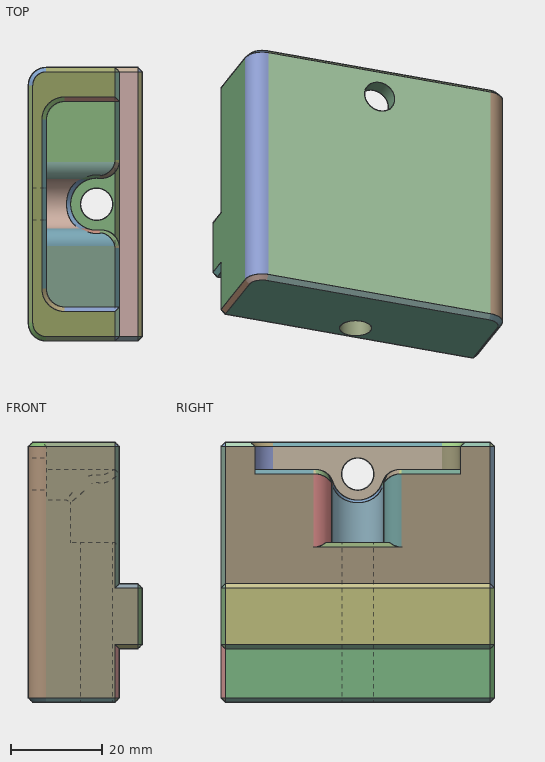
import cadquery as cq
import math

body_depth = 20.0
width = 60.0
height = 57.0
edge_chamfer = 1.0
corner_radius = 4.0

rib_projection = 5.0
rib_bottom = 11.7
rib_top = 26.0

wall_thickness = 4.0
pocket_half_width = 22.5
pocket_corner_radius = 4.0
shelf_height = 51.0

hole_diameter = 7.0
wall_hole_height = 50.0
foot_hole_x = 15.0
channel_radius = 5.7
lip_radius = 4.0
foot_height = 35.0

clearance = 5.0
tolerance = 0.01


def make_body():
    """Rounded block with a cross rib on its back face."""
    block = (
        cq.Workplane("XY")
        .box(body_depth, width, height, centered=(False, True, False))
        .edges("|Z and <X")
        .fillet(corner_radius)
    )
    rib = (
        cq.Workplane("XY")
        .box(body_depth + rib_projection - corner_radius, width, rib_top - rib_bottom,
             centered=(False, True, False))
        .translate((corner_radius, 0, rib_bottom))
    )
    return block.union(rib)


def make_pocket():
    """Open pocket above the shelf."""
    return (
        cq.Workplane("XY")
        .box(body_depth, 2 * pocket_half_width, height - shelf_height + clearance,
             centered=(False, True, False))
        .edges("|Z and <X")
        .fillet(pocket_corner_radius)
        .translate((wall_thickness, 0, shelf_height))
    )


def channel_outline(plane, axis_depth):
    """Round-bottomed channel whose lips roll out tangent to the face it opens on.

    The plane origin lies on that face, local x runs across the channel and local y points outward.
    axis_depth is the depth of the channel axis below the face.
    """
    reach = channel_radius + lip_radius
    lip_x = math.sqrt(reach ** 2 - (axis_depth - lip_radius) ** 2)
    join_share = channel_radius / reach
    join_x = lip_x * join_share
    join_y = (axis_depth - lip_radius) * join_share - axis_depth
    join_angle = math.atan2(join_y + lip_radius, join_x - lip_x) % (2 * math.pi)
    mid_angle = (math.radians(90) + join_angle) / 2
    mid_x = lip_x + lip_radius * math.cos(mid_angle)
    mid_y = -lip_radius + lip_radius * math.sin(mid_angle)
    return (
        cq.Workplane(plane)
        .moveTo(lip_x, clearance)
        .lineTo(lip_x, 0)
        .threePointArc((mid_x, mid_y), (join_x, join_y))
        .threePointArc((0, -axis_depth - channel_radius), (-join_x, join_y))
        .threePointArc((-mid_x, mid_y), (-lip_x, 0))
        .lineTo(-lip_x, clearance)
        .close()
    )


def make_trough():
    """Channel along X in the shelf, in line with the wall hole."""
    plane = cq.Plane(origin=(wall_thickness, 0, shelf_height), xDir=(0, 1, 0), normal=(1, 0, 0))
    return channel_outline(plane, shelf_height - wall_hole_height).extrude(body_depth)


def make_notch():
    """Upright channel in the back face, standing on the foot."""
    plane = cq.Plane(origin=(body_depth, 0, foot_height), xDir=(0, 1, 0), normal=(0, 0, -1))
    return channel_outline(plane, body_depth - foot_hole_x).extrude(foot_height - height)


def outer_edges(part):
    """Rims of the top, bottom and side faces and of the rib end."""
    rims = part.faces("<Z or >Z or >X").edges().vals()
    side_edges = part.faces("<Y or >Y").edges("|X or |Z").vals()
    sharp_side_edges = [edge for edge in side_edges if edge.Center().x > corner_radius + tolerance]
    return rims + sharp_side_edges


def ledge_edges(part):
    """Back edges of the shelf and foot, and the edge where the trough breaks into the notch."""
    notch_front = foot_hole_x - channel_radius
    lip_zone = cq.selectors.BoxSelector(
        (notch_front - tolerance, -pocket_half_width, foot_height + tolerance),
        (body_depth + tolerance, pocket_half_width, shelf_height + tolerance),
        boundingbox=True,
    )
    lip = part.edges(lip_zone).edges("not(|X or |Z)").vals()
    foot_edge = part.edges(cq.selectors.NearestToPointSelector((body_depth, 0, foot_height))).vals()
    return lip + foot_edge


def drill_holes(part):
    """Hole through the front wall along X and hole through the foot along Z."""
    radius = hole_diameter / 2
    wall_hole = cq.Solid.makeCylinder(
        radius, wall_thickness + clearance, cq.Vector(-clearance, 0, wall_hole_height), cq.Vector(1, 0, 0)
    )
    foot_hole = cq.Solid.makeCylinder(
        radius, foot_height + clearance, cq.Vector(foot_hole_x, 0, 0), cq.Vector(0, 0, 1)
    )
    return part.cut(cq.Workplane(wall_hole)).cut(cq.Workplane(foot_hole))


part = make_body().cut(make_pocket()).cut(make_trough()).cut(make_notch())
sharp_edges = set(outer_edges(part) + ledge_edges(part))
part = part.newObject(list(sharp_edges)).chamfer(edge_chamfer)
result = drill_holes(part)